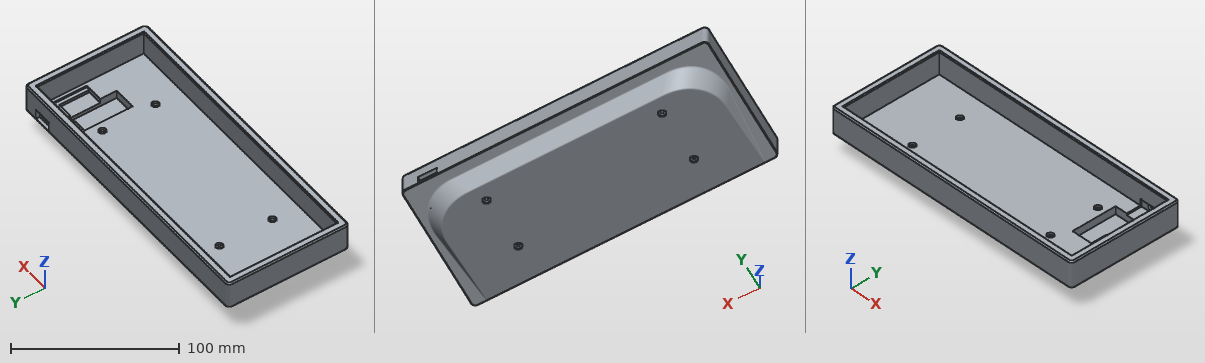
import cadquery as cq
import math

key_pitch = 19.05
row_length = 10.25
row_count = 4
plate_clearance = 1.15
cavity_length = row_length * key_pitch + plate_clearance
cavity_width = row_count * key_pitch + plate_clearance
wall = 5.5
case_length = cavity_length + 2 * wall
case_width = cavity_width + 2 * wall
case_height = 20.0
floor_z = 2.6
corner_radius = 3.0
rim_chamfer = 1.0
base_chamfer = 0.5
mouth_chamfer = 0.75

foot_tilt = 9.0
foot_draft = 30.0
foot_depth = 11.59
foot_half_length = 94.5
foot_corner_radius = 30.0
rest_round = 1.0
joint_round = 1.0
selection_margin = 0.001

foot_front_y = -case_width / 2 + base_chamfer
tilt = math.radians(foot_tilt)
draft_slope = math.tan(math.radians(foot_draft))
foot_down = (0, -math.sin(tilt), -math.cos(tilt))
half_edge_angle = (math.pi / 2 - tilt + math.radians(foot_draft)) / 2
edge_loss = rest_round * (math.sin(tilt + half_edge_angle) / math.sin(half_edge_angle) - 1)
sharp_depth = foot_depth + edge_loss

screw_half_spacing_x = 59.53
screw_half_spacing_y = 19.3
screw_center_y = -0.3
screw_diameter = 2.0
recess_diameter = 5.0
floor_recess_depth = 1.8
foot_recess_depth = 2.0

cavity_back_y = cavity_width / 2
board_left_x = 75.4
board_right_x = 95.8
board_front_y = 4.5
board_depth = 1.3
parts_right_x = 93.1
parts_back_y = 26.4
parts_depth = 3.3
battery_left_x = 65.8
battery_right_x = 82.0
battery_front_y = -7.45
battery_back_y = 27.55
battery_depth = 6.0

notch_depth = 1.0
notch_height = 4.8
usb_width = 9.0
usb_height = 3.4
usb_bottom = 0.2
usb_corner_radius = 1.4
usb_wall = 1.8
plug_margin = 2.0


def block(x_min, x_max, y_min, y_max, z_min, z_max):
    size = (x_max - x_min, y_max - y_min, z_max - z_min)
    return cq.Workplane("XY").box(*size, centered=False).translate((x_min, y_min, z_min))


def make_case():
    """Rounded rectangular block, before the cavity is cut."""
    case = cq.Workplane("XY").rect(case_length, case_width).extrude(case_height)
    case = case.edges("|Z").fillet(corner_radius)
    case = case.faces(">Z").edges().chamfer(rim_chamfer)
    return case.faces("<Z").edges().chamfer(base_chamfer)


def make_cavity():
    """Open cavity with a chamfered mouth."""
    cavity = (
        cq.Workplane("XY").workplane(offset=floor_z)
        .rect(cavity_length, cavity_width).extrude(case_height - floor_z)
    )
    mouth = (
        cq.Workplane("XY").workplane(offset=case_height)
        .rect(cavity_length + 2 * mouth_chamfer, cavity_width + 2 * mouth_chamfer)
        .workplane(offset=-mouth_chamfer)
        .rect(cavity_length, cavity_width)
        .loft(ruled=True)
    )
    return cavity.union(mouth)


def make_foot():
    """Wedge whose sides and rear lean outward going up from the tilted resting face."""
    run = sharp_depth / math.tan(tilt)
    rear_bottom_y = foot_front_y + run
    rear_top_y = rear_bottom_y + sharp_depth * draft_slope
    side_view = (
        cq.Workplane("YZ")
        .polyline([(foot_front_y, 0), (rear_bottom_y, -sharp_depth), (rear_top_y, 0)]).close()
        .extrude(case_length / 2, both=True)
    )

    side_slope = draft_slope / math.sqrt(1 - (draft_slope * math.tan(tilt)) ** 2) / math.cos(tilt)
    section_height = 2 * sharp_depth
    top_half_length = foot_half_length + section_height * side_slope
    slope_plane = cq.Plane(
        origin=(0, foot_front_y, 0),
        xDir=(-1, 0, 0),
        normal=(0, math.cos(tilt), -math.sin(tilt)),
    )
    slope_section = (
        cq.Workplane(slope_plane)
        .polyline([
            (-foot_half_length, 0),
            (foot_half_length, 0),
            (top_half_length, section_height),
            (-top_half_length, section_height),
        ]).close()
        .extrude(2 * case_width, both=True)
    )
    foot = side_view.intersect(slope_section)
    return foot.faces(">Y").edges("not |X").fillet(foot_corner_radius)


def make_shell():
    """Case and foot joined, with fillets around the resting face and along the joint."""
    resting_face = make_foot().faces(cq.selectors.DirectionMinMaxSelector(cq.Vector(foot_down), True))
    foot = resting_face.edges("not <Y").fillet(rest_round)
    shell = make_case().union(foot)
    joint_zone = cq.selectors.BoxSelector(
        (-cavity_length / 2 - wall / 2, -cavity_back_y, -selection_margin),
        (cavity_length / 2 + wall / 2, cavity_back_y, selection_margin),
    )
    return shell.edges(joint_zone).fillet(joint_round)


def make_screw_holes():
    """Through holes with a round recess in the cavity floor and another in the resting face."""
    holes = cq.Workplane("XY")
    for x in (-screw_half_spacing_x, screw_half_spacing_x):
        for y in (screw_center_y - screw_half_spacing_y, screw_center_y + screw_half_spacing_y):
            face_z = -(y - foot_front_y) * math.tan(tilt)
            place = cq.Workplane("XY").center(x, y)
            shank = place.workplane(offset=-2 * foot_depth).circle(screw_diameter / 2)
            holes = holes.add(shank.extrude(2 * foot_depth + floor_z))
            top = place.workplane(offset=floor_z - floor_recess_depth).circle(recess_diameter / 2)
            holes = holes.add(top.extrude(floor_recess_depth))
            bottom = place.workplane(offset=face_z + foot_recess_depth).circle(recess_diameter / 2)
            holes = holes.add(bottom.extrude(-2 * foot_depth))
    return holes.combine()


def make_pockets():
    """Stepped pockets for the controller board, its components and the battery."""
    board = block(board_left_x, board_right_x, board_front_y, cavity_back_y, floor_z - board_depth, floor_z)
    parts = block(battery_right_x, parts_right_x, board_front_y, parts_back_y, floor_z - parts_depth, floor_z)
    battery = block(battery_left_x, battery_right_x, battery_front_y, battery_back_y,
                    floor_z - battery_depth, floor_z)
    return board.union(parts).union(battery)


def make_usb_port():
    """Notch for the board edge, a slot through the back wall and a plug recess outside it."""
    notch = block(board_left_x, board_right_x, cavity_back_y, cavity_back_y + notch_depth,
                  floor_z - board_depth, floor_z + notch_height)
    center_x = (board_left_x + board_right_x) / 2
    center_z = floor_z + usb_bottom + usb_height / 2
    slot = (
        cq.Workplane("XY").box(usb_width, wall, usb_height).edges("|Y").fillet(usb_corner_radius)
        .translate((center_x, cavity_back_y + wall / 2, center_z))
    )
    recess_length = usb_width + 2 * plug_margin
    recess_height = usb_height + 2 * plug_margin
    recess_y = cavity_back_y + notch_depth + usb_wall
    recess = block(center_x - recess_length / 2, center_x + recess_length / 2, recess_y, case_width / 2,
                   center_z - recess_height / 2, center_z + recess_height / 2)
    return notch.union(slot).union(recess)


result = (
    make_shell()
    .cut(make_cavity())
    .cut(make_pockets())
    .cut(make_usb_port())
    .cut(make_screw_holes())
)